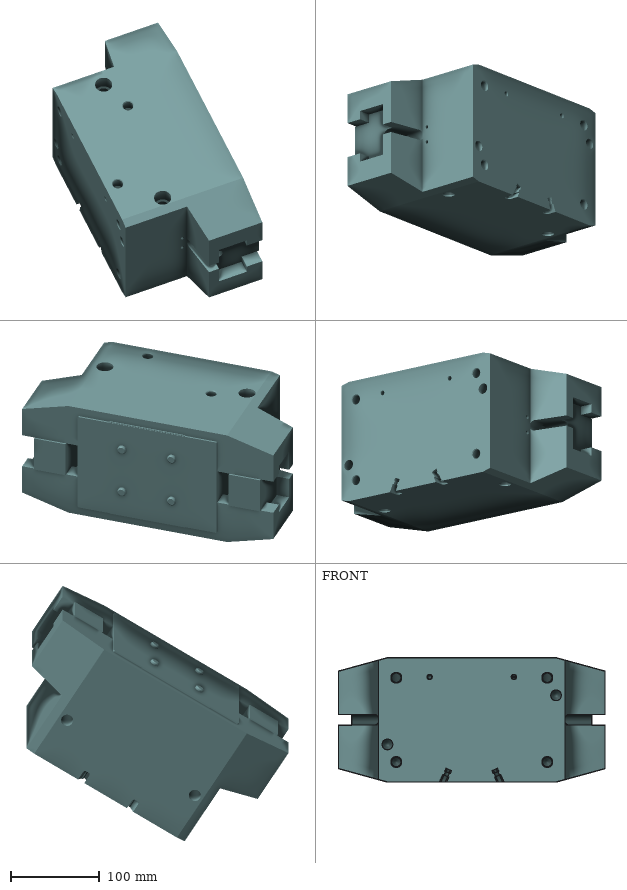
import cadquery as cq
import math


length = 300.0
height = 140.0
shoulder_half_width = 94.8
end_half_height = 55.0
body_half_width = 105.0
guide_face_y = 148.0
guide_seam_y = 129.0
overhang_inner_y = 75.0
overhang_outer_y = 82.8

cover_half_width = 83.0
cover_half_height = 59.5
cover_corner_radius = 1.5
cover_face_y = 150.0
lip_half_width = 45.0
lip_half_height = 60.3
lip_thickness = 1.5
button_diameter = 10.2
button_face_y = 153.3
button_chamfer = 1.2
button_x = 29.7
button_z = 27.5

jaw_outer_x = 135.0
jaw_inner_x = 97.5
tee_floor_y = 94.8
tee_half_height = 30.3
neck_half_height = 20.5
slit_diameter = 12.0
slit_center_x = 110.0
slit_radius = slit_diameter / 2
slit_inner_x = slit_center_x - slit_radius
jaw_groove_axis_y = 100.0

screw_hole_x = 85.0
screw_hole_z = 47.5
screw_hole_diameter = 10.5
screw_hole_chamfer = 1.0
upper_screw_hole_depth = 51.0
lower_screw_hole_depth = 36.0
dowel_x = 94.8
dowel_z = 27.5
dowel_diameter = 12.0
dowel_depth = 15.0
drill_point_angle = 118.0

port_x = 47.5
face_port_z = 48.3
face_port_diameter = 4.8
face_port_chamfer = 0.5
face_port_depth = 12.0
top_port_diameter = 11.5
top_port_chamfer = 1.0
top_port_depth = 12.0
top_passage_diameter = 5.7
top_passage_depth = 9.0
left_port_y = 67.8
right_port_y = 15.0
right_passage_y = 12.5

cross_bolt_y = 53.7
cross_bolt_diameter = 13.5
cross_bolt_head_diameter = 19.2
cross_bolt_head_depth = 16.5

end_hole_diameter = 3.3
end_hole_chamfer = 0.5
end_hole_depth = 4.5
end_hole_y = 69.0
end_hole_z = 9.0

seat_tilt = 25.0
seat_axis_y = 10.2
seat_floor_y = 13.2
seat_tip_x = 25.8
seat_tip_z = -55.8
seat_tip_radius = 3.45
seat_tip_length = 3.5
seat_neck_radius = 2.5
seat_neck_end = 7.8
seat_body_radius = 3.75
seat_body_end = 24.0

X_AXIS = cq.Vector(1, 0, 0)
Y_AXIS = cq.Vector(0, 1, 0)
DOWN = cq.Vector(0, 0, -1)
SIDES = (-1, 1)


def slab(points, y_start, y_end):
    """Prism of an X-Z outline between two Y levels."""
    plane = cq.Plane(origin=(0, y_start, 0), xDir=(1, 0, 0), normal=(0, 1, 0))
    outline = [(x, -z) for x, z in points]
    return cq.Workplane(plane).polyline(outline).close().extrude(y_end - y_start)


def box(x_range, y_range, z_range):
    """Axis-aligned block given by its ranges."""
    sizes = [end - start for start, end in (x_range, y_range, z_range)]
    corner = (x_range[0], y_range[0], z_range[0])
    return cq.Workplane("XY").box(*sizes, centered=False).translate(corner)


def side_range(side, inner, outer):
    """X range between two distances from the middle, on the given side."""
    return tuple(sorted((side * inner, side * outer)))


def bore(mouth, direction, diameter, depth, chamfer=0.0):
    """Flat-bottomed round hole, as a cutter, with an optional chamfered mouth."""
    radius = diameter / 2
    cutter = cq.Solid.makeCylinder(radius, depth, mouth, direction)
    if chamfer:
        sink = cq.Solid.makeCone(radius + chamfer, radius, chamfer, mouth, direction)
        cutter = cutter.fuse(sink)
    return cutter


def drill(mouth, direction, diameter, depth, chamfer=0.0):
    """Round hole ending in a drill point, as a cutter; the depth is that of the round part."""
    radius = diameter / 2
    point_length = radius / math.tan(math.radians(drill_point_angle / 2))
    point = cq.Solid.makeCone(radius, 0, point_length, mouth + direction * depth, direction)
    return bore(mouth, direction, diameter, depth, chamfer).fuse(point)


def tee_profile(x_range, face_y):
    """Tee-section bar: wide foot under the guide plate, narrow neck up to face_y."""
    foot = box(x_range, (tee_floor_y, guide_seam_y), (-tee_half_height, tee_half_height))
    neck = box(x_range, (guide_seam_y, face_y), (-neck_half_height, neck_half_height))
    return foot.union(neck)


def make_blank():
    """Base block with the guide plate on it; the joint line between them stays on the sides."""
    half_length = length / 2
    half_height = height / 2
    outline = [
        (-half_length, -end_half_height), (-shoulder_half_width, -half_height),
        (shoulder_half_width, -half_height), (half_length, -end_half_height),
        (half_length, end_half_height), (shoulder_half_width, half_height),
        (-shoulder_half_width, half_height), (-half_length, end_half_height),
    ]
    base = slab(outline, 0, guide_seam_y)
    for side in SIDES:
        relief = (
            cq.Workplane("XY", origin=(0, 0, -half_height))
            .moveTo(side * body_half_width, 0)
            .lineTo(side * body_half_width, overhang_inner_y)
            .lineTo(side * half_length, overhang_outer_y)
            .lineTo(side * half_length, 0)
            .close()
            .extrude(height)
        )
        base = base.cut(relief)
    plate = slab(outline, guide_seam_y, guide_face_y)
    return base.union(plate, clean=False)


def make_cover():
    """Rounded cover with a thin lip and four chamfered buttons."""
    cover = box(
        (-cover_half_width, cover_half_width),
        (guide_face_y, cover_face_y),
        (-cover_half_height, cover_half_height),
    ).edges("|Y").fillet(cover_corner_radius)
    lip = box(
        (-lip_half_width, lip_half_width),
        (guide_face_y, guide_face_y + lip_thickness),
        (-lip_half_height, lip_half_height),
    )
    cover = cover.union(lip)
    for side in SIDES:
        for level in SIDES:
            foot = cq.Vector(side * button_x, cover_face_y, level * button_z)
            button = cq.Solid.makeCylinder(button_diameter / 2, button_face_y - cover_face_y, foot, Y_AXIS)
            cover = cover.union(cq.Workplane(button).faces(">Y").chamfer(button_chamfer))
    return cover


def make_guide(side):
    """Tee slot of one jaw and the slit below it, as a cutter."""
    slot = tee_profile(side_range(side, cover_half_width, length / 2), guide_face_y)
    slit_y = (overhang_inner_y, tee_floor_y)
    slit = box(side_range(side, slit_center_x, length / 2), slit_y, (-slit_radius, slit_radius))
    round_end = cq.Solid.makeCylinder(
        slit_radius, slit_y[1] - slit_y[0], cq.Vector(side * slit_center_x, slit_y[0], 0), Y_AXIS
    )
    return slot.union(slit).union(cq.Workplane(round_end))


def make_top_port(side, port_y, passage_y):
    """Air port in the top face with a narrow passage from its bottom."""
    mouth = cq.Vector(side * port_x, port_y, height / 2)
    passage_mouth = cq.Vector(side * port_x, passage_y, height / 2)
    port = bore(mouth, DOWN, top_port_diameter, top_port_depth, top_port_chamfer)
    return port.fuse(drill(passage_mouth, DOWN, top_passage_diameter, top_port_depth + top_passage_depth))


def make_cross_bolt_hole(side):
    """Through hole along Z with a counterbore at the top."""
    mouth = cq.Vector(side * screw_hole_x, cross_bolt_y, height / 2)
    shank = bore(mouth, DOWN, cross_bolt_diameter, height)
    return shank.fuse(bore(mouth, DOWN, cross_bolt_head_diameter, cross_bolt_head_depth))


def make_sensor_seat(side):
    """Stepped round-bottomed slot, as a cutter, leaning outwards towards the underside."""
    tilt = math.radians(seat_tilt)
    axis = cq.Vector(side * math.sin(tilt), 0, -math.cos(tilt))
    tip = cq.Vector(side * seat_tip_x, 0, seat_tip_z)
    steps = [
        (seat_tip_radius, 0, seat_tip_length),
        (seat_neck_radius, seat_tip_length, seat_neck_end),
        (seat_body_radius, seat_neck_end, seat_body_end),
    ]
    seat = cq.Workplane()
    for radius, start, end in steps:
        section = cq.Workplane(cq.Plane(origin=tip + axis * start, xDir=Y_AXIS, normal=axis))
        walls = section.rect(2 * seat_axis_y, 2 * radius).extrude(end - start)
        bottom = section.center(seat_axis_y, 0).circle(radius).extrude(end - start)
        seat = seat.add(walls.union(bottom))
    above_floor = box((-length / 2, length / 2), (-seat_floor_y, seat_floor_y), (-height, height))
    return seat.combine().intersect(above_floor).val()


def make_housing():
    """Base block, guide plate and cover with every slot, hole and pocket."""
    housing = make_blank().union(make_cover(), clean=False)
    cutters = [
        make_top_port(-1, left_port_y, left_port_y),
        make_top_port(1, right_port_y, right_passage_y),
    ]
    for side in SIDES:
        cutters.append(make_guide(side).val())
        dowel = cq.Vector(side * dowel_x, 0, side * dowel_z)
        cutters.append(drill(dowel, Y_AXIS, dowel_diameter, dowel_depth))
        cutters.append(make_cross_bolt_hole(side))
        cutters.append(make_sensor_seat(side))
        face_port = cq.Vector(side * port_x, 0, face_port_z)
        cutters.append(drill(face_port, Y_AXIS, face_port_diameter, face_port_depth, face_port_chamfer))
        for level, depth in ((1, upper_screw_hole_depth), (-1, lower_screw_hole_depth)):
            screw = cq.Vector(side * screw_hole_x, 0, level * screw_hole_z)
            cutters.append(drill(screw, Y_AXIS, screw_hole_diameter, depth, screw_hole_chamfer))
            end_hole = cq.Vector(side * body_half_width, end_hole_y, level * end_hole_z)
            cutters.append(
                drill(end_hole, X_AXIS * -side, end_hole_diameter, end_hole_depth, end_hole_chamfer)
            )
    for cutter in cutters:
        housing = housing.cut(cq.Workplane(cutter), clean=False)
    return housing.solids()


def make_jaw(side):
    """Tee-section jaw with a round-bottomed groove in its foot and a threaded hole at the groove's end."""
    jaw = tee_profile(side_range(side, jaw_inner_x, jaw_outer_x), cover_face_y)
    groove_x = side_range(side, slit_inner_x, jaw_outer_x)
    groove = box(groove_x, (tee_floor_y, jaw_groove_axis_y), (-slit_radius, slit_radius))
    groove_start = cq.Vector(groove_x[0], jaw_groove_axis_y, 0)
    groove_round = cq.Solid.makeCylinder(slit_radius, groove_x[1] - groove_x[0], groove_start, X_AXIS)
    hole_mouth = cq.Vector(side * slit_inner_x, jaw_groove_axis_y, 0)
    hole = drill(hole_mouth, X_AXIS * -side, end_hole_diameter, end_hole_depth, end_hole_chamfer)
    return jaw.cut(groove).cut(cq.Workplane(groove_round)).cut(cq.Workplane(hole))


housing = make_housing()
jaws = [make_jaw(side) for side in SIDES]
result = cq.Compound.makeCompound([housing.val(), *(jaw.val() for jaw in jaws)])